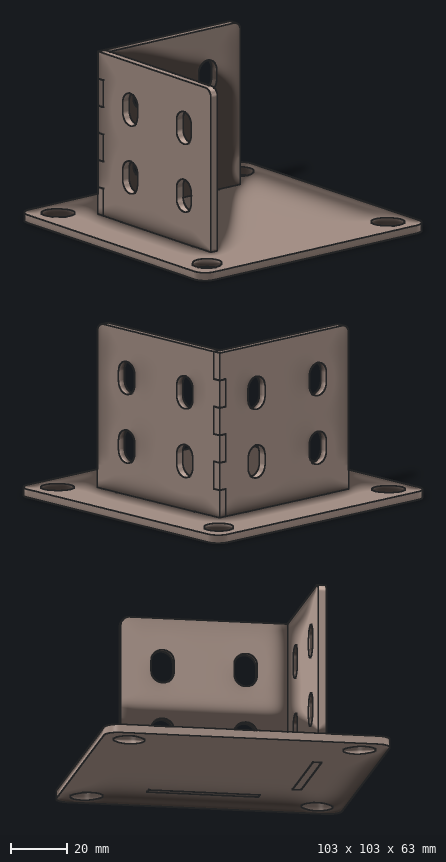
import cadquery as cq

plate_size = 103.0
plate_corner_radius = 5.0
sheet_thickness = 3.0
mount_spacing = 83.0
mount_slot_width = 10.2
mount_slot_length = 11.9
mount_slot_angle = 45

total_height = 63.0
wall_height = total_height - sheet_thickness
wall_length = 63.0
wall_corner_radius = 3.0
wall_slot_width = 8.2
wall_slot_length = 11.9
wall_slot_angle = 90
wall_slot_spacing_along = 30.0
wall_slot_spacing_up = 25.0

finger_rows = 6
finger_height = wall_height / finger_rows
finger_gap = 0.1

tab_length = 40.0
tab_clearance = 0.1

wall_start = -wall_length / 2
body_start = wall_start + sheet_thickness
wall_end = wall_length / 2
body_middle = (body_start + wall_end) / 2
sheet_middle = wall_start + sheet_thickness / 2

front_plane = cq.Plane(origin=(0, wall_start, sheet_thickness), xDir=(1, 0, 0), normal=(0, -1, 0))
side_plane = cq.Plane(origin=(wall_start, 0, sheet_thickness), xDir=(0, 1, 0), normal=(1, 0, 0))


def make_base_plate():
    plate = cq.Workplane("XY").rect(plate_size, plate_size).extrude(sheet_thickness)
    plate = plate.edges("|Z").fillet(plate_corner_radius)

    for x_side in (-1, 1):
        for y_side in (-1, 1):
            plate = plate.cut(
                cq.Workplane("XY")
                .center(x_side * mount_spacing / 2, y_side * mount_spacing / 2)
                .slot2D(mount_slot_length, mount_slot_width, mount_slot_angle * x_side * y_side)
                .extrude(sheet_thickness)
            )

    slot_length = tab_length + 2 * tab_clearance
    slot_width = sheet_thickness + 2 * tab_clearance
    front_slot = cq.Workplane("XY").center(body_middle, sheet_middle).rect(slot_length, slot_width)
    side_slot = cq.Workplane("XY").center(sheet_middle, body_middle).rect(slot_width, slot_length)
    for slot in (front_slot, side_slot):
        plate = plate.cut(slot.extrude(sheet_thickness))
    return plate


def make_wall(outer_plane, inward, rows):
    """Wall whose fingers fill the given rows; inward is the sign of the extrusion into the sheet."""
    depth = inward * sheet_thickness
    sketch = cq.Workplane(outer_plane)

    wall = (
        sketch.moveTo(body_start, 0)
        .lineTo(wall_end, 0)
        .lineTo(wall_end, wall_height - wall_corner_radius)
        .radiusArc((wall_end - wall_corner_radius, wall_height), -wall_corner_radius)
        .lineTo(body_start, wall_height)
        .close()
        .extrude(depth)
    )

    for row in rows:
        bottom = row * finger_height
        top = bottom + finger_height
        if row > 0:
            bottom += finger_gap / 2
        if row < finger_rows - 1:
            top -= finger_gap / 2
        finger = (
            sketch.moveTo(wall_start, bottom)
            .lineTo(body_start, bottom)
            .lineTo(body_start, top)
            .lineTo(wall_start, top)
            .close()
            .extrude(depth)
        )
        wall = wall.union(finger)

    tab = sketch.center(body_middle, -sheet_thickness / 2).rect(tab_length, sheet_thickness).extrude(depth)

    slots = (
        sketch.center(body_middle, wall_height / 2)
        .rarray(wall_slot_spacing_along, wall_slot_spacing_up, 2, 2)
        .slot2D(wall_slot_length, wall_slot_width, wall_slot_angle)
        .extrude(depth)
    )
    return wall.union(tab).cut(slots)


base_plate = make_base_plate()
side_wall = make_wall(side_plane, 1, range(0, finger_rows, 2))
front_wall = make_wall(front_plane, -1, range(1, finger_rows, 2))

result = cq.Compound.makeCompound([base_plate.val(), front_wall.val(), side_wall.val()])